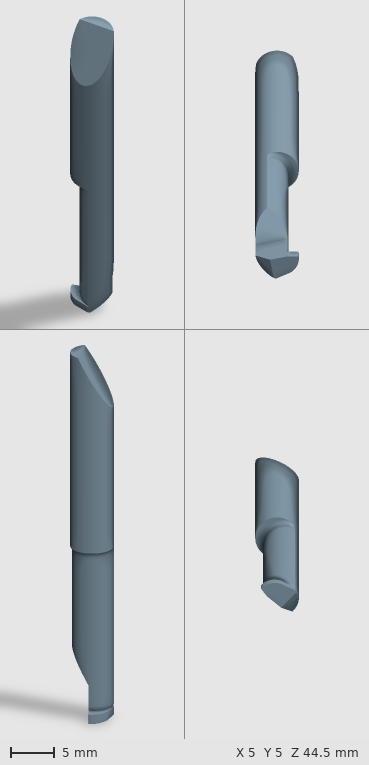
import cadquery as cq
import math

length = 44.5
radius = 2.5
oversize = 2 * radius

slope = math.tan(math.radians(60))
top_flat_y = 1.25
rake_y = 0.2
rake_flat_top = 4.25
corner_chamfer = 1.6
corner_top = 1.8

neck_offset = 1.2
neck_top = 20.83
neck_fillet = 0.55
undercut_depth = 0.1
undercut_height = 0.45
neck_edge_x = neck_offset / 2
neck_edge_y = -math.sqrt(radius**2 - neck_edge_x**2)

head_height = 1.15
tip_y = -0.1
land_y = -0.3
flank_mid = (-2.1, -1.25)
flank_end = (-1.1, -2.0)
rake_start_x = -1.4
front_relief = 0.1
side_relief = 0.1


def side_prism(points):
    """Prism along X from (y, z) points."""
    return cq.Workplane("YZ").polyline(points).close().extrude(oversize, both=True)


def top_cut():
    """Long slope at the upper end."""
    drop = (top_flat_y + oversize) * slope
    return side_prism([(top_flat_y, length), (-oversize, length), (-oversize, length - drop)])


def back_cut():
    """Flat and long slope on the back of the lower end."""
    slope_top = rake_flat_top + (oversize - rake_y) * slope
    return side_prism([(rake_y, -0.45), (rake_y, rake_flat_top), (oversize, slope_top), (oversize, -0.45)])


def corner_cut():
    """Chamfer on the +X lower corner."""
    bottom_z = corner_top - corner_chamfer
    inner_x = radius - corner_chamfer
    points = [(inner_x, bottom_z), (oversize, bottom_z + oversize - inner_x),
              (oversize, -0.45), (inner_x - bottom_z - 0.45, -0.45)]
    return cq.Workplane("XZ").polyline(points).close().extrude(oversize, both=True)


def neck_cut():
    """Ring around the offset neck, rounded at its upper root and undercut at its lower end."""
    outer = 2 * oversize
    bend = 1 - math.sqrt(0.5)
    return (
        cq.Workplane("XZ")
        .moveTo(outer, head_height)
        .lineTo(radius - undercut_depth, head_height)
        .lineTo(radius, head_height + undercut_height)
        .lineTo(radius, neck_top - neck_fillet)
        .threePointArc((radius + neck_fillet * bend, neck_top - neck_fillet * bend),
                       (radius + neck_fillet, neck_top))
        .lineTo(outer, neck_top)
        .close()
        .revolve(360, (0, 0, 0), (0, 1, 0))
        .translate((neck_offset, 0, 0))
    )


def relief_cut():
    """Underside rising from the tip of the cutting edge towards -Y and +X."""
    front_angle = math.degrees(math.atan(front_relief / (radius + tip_y)))
    side_angle = math.degrees(math.atan(side_relief / (radius + neck_edge_x)))
    return (
        cq.Workplane("XY")
        .box(2 * oversize, 2 * oversize, oversize, centered=(True, True, False))
        .translate((0, 0, -oversize))
        .rotate((0, 0, 0), (1, 0, 0), -front_angle)
        .rotate((0, 0, 0), (0, 1, 0), -side_angle)
        .translate((-radius, tip_y, 0))
    )


def head_space():
    """Corner of the bar taken up by the cutting head."""
    block = cq.Workplane("XY").box(oversize, 2 * oversize, head_height, centered=(False, True, False))
    return block.translate((neck_edge_x - oversize, 0, 0))


def make_bar():
    bar = cq.Workplane("XY").circle(radius).extrude(length)
    for cutter in (top_cut(), back_cut(), corner_cut(), neck_cut(), relief_cut(), head_space()):
        bar = bar.cut(cutter)
    return bar


def make_head():
    tip_x = -math.sqrt(radius**2 - tip_y**2)
    head = (
        cq.Workplane("XY")
        .moveTo(neck_edge_x, rake_y)
        .lineTo(rake_start_x, rake_y)
        .lineTo(tip_x, tip_y)
        .lineTo(tip_x, land_y)
        .threePointArc(flank_mid, flank_end)
        .lineTo(neck_edge_x, neck_edge_y)
        .close()
        .extrude(head_height)
    )
    return head.cut(relief_cut()).cut(corner_cut())


bar = make_bar()
head = make_head()

result = cq.Compound.makeCompound([bar.val(), head.val()])